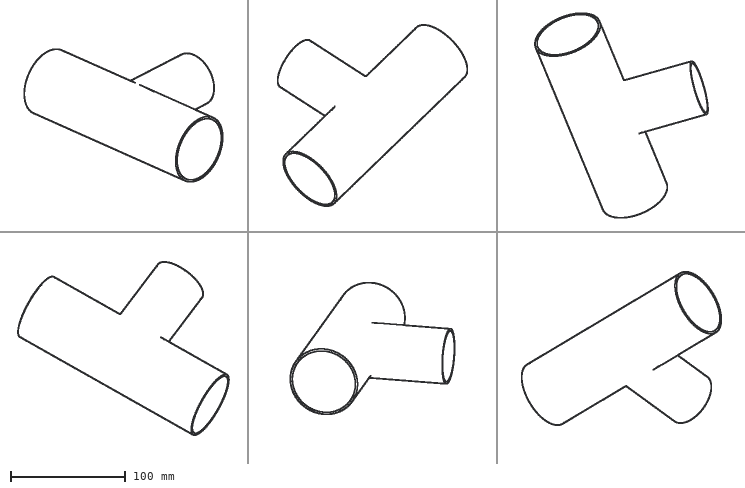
import cadquery as cq

run_length = 180.0
run_outer_diameter = 60.3
run_inner_diameter = 56.3
branch_outer_diameter = 48.2
branch_inner_diameter = 44.3
overall_depth = 120.2
joint_fillet_radius = 1.0

branch_reach = overall_depth - run_outer_diameter / 2


def run_cylinder(diameter):
    """Cylinder along X, centred on the origin, over the full run length."""
    return cq.Workplane("YZ").circle(diameter / 2).extrude(run_length / 2, both=True)


def branch_cylinder(diameter):
    """Cylinder along +Y from the run axis to the open end of the branch."""
    return cq.Workplane("XZ").circle(diameter / 2).extrude(-branch_reach)


def fillet_joint(body):
    """Round the saddle-shaped edge where the branch meets the run."""
    joint_box = cq.selectors.BoxSelector(
        (-branch_outer_diameter, 0, -run_outer_diameter),
        (branch_outer_diameter, run_outer_diameter, run_outer_diameter),
        boundingbox=True,
    )
    return body.edges(joint_box).fillet(joint_fillet_radius)


outside = run_cylinder(run_outer_diameter).union(branch_cylinder(branch_outer_diameter))
bore = run_cylinder(run_inner_diameter).union(branch_cylinder(branch_inner_diameter))

result = fillet_joint(outside).cut(bore)